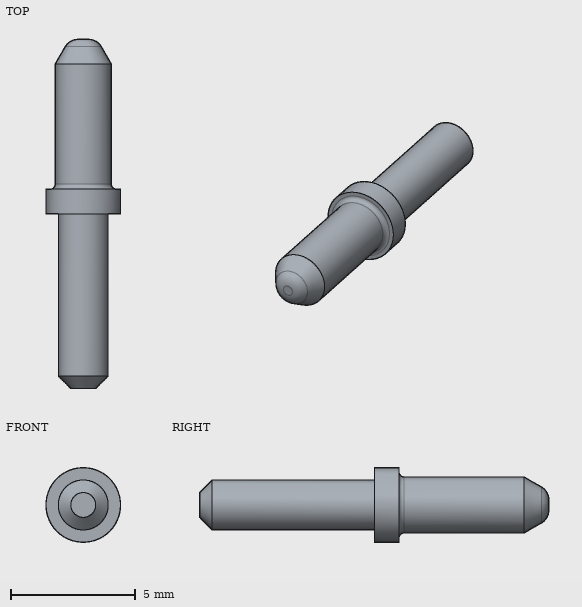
import cadquery as cq
import math

total_length = 14.0
flange_diameter = 3.0
flange_thickness = 1.0
flange_front_y = 0.0
flange_rear_y = flange_front_y + flange_thickness
front_end_y = -total_length / 2
rear_end_y = total_length / 2

front_pin_diameter = 2.0
front_chamfer = 0.5

rear_pin_diameter = 2.25
nose_length = 1.0
taper_angle = 30.0
nose_rounding = 0.6
root_fillet = 0.2

flange_radius = flange_diameter / 2
front_radius = front_pin_diameter / 2
rear_radius = rear_pin_diameter / 2
nose_end_radius = rear_radius - nose_length * math.tan(math.radians(taper_angle))


def cylinder_along_y(radius, start_y, end_y):
    """Solid cylinder on the Y axis between two stations."""
    axis = cq.Vector(0, 1, 0)
    return cq.Workplane(cq.Solid.makeCylinder(radius, end_y - start_y, cq.Vector(0, start_y, 0), axis))


def make_front_pin():
    pin = cylinder_along_y(front_radius, front_end_y, flange_front_y)
    return pin.faces("<Y").chamfer(front_chamfer)


def make_rear_pin():
    """Half profile (radius, y) revolved about Y, then the nose edge is rounded."""
    pin = (
        cq.Workplane("XY")
        .moveTo(0, flange_rear_y)
        .lineTo(rear_radius + root_fillet, flange_rear_y)
        .radiusArc((rear_radius, flange_rear_y + root_fillet), root_fillet)
        .lineTo(rear_radius, rear_end_y - nose_length)
        .lineTo(nose_end_radius, rear_end_y)
        .lineTo(0, rear_end_y)
        .close()
        .revolve(360, (0, 0, 0), (0, 1, 0))
    )
    return pin.faces(">Y").edges().fillet(nose_rounding)


flange = cylinder_along_y(flange_radius, flange_front_y, flange_rear_y)
result = flange.union(make_front_pin()).union(make_rear_pin())